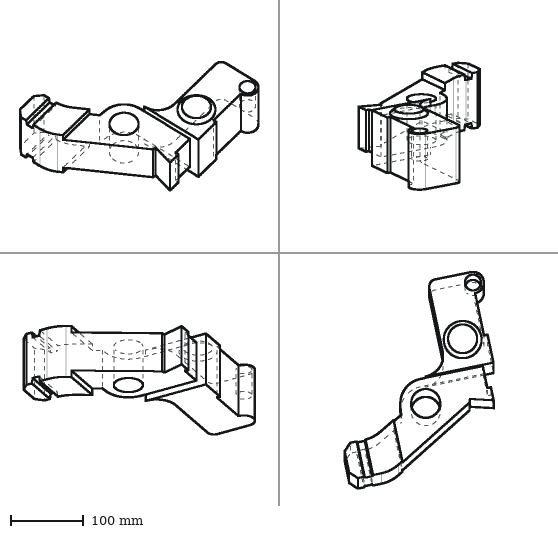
import cadquery as cq
import math


thick = 80.0
web_thick = 60.0

pivot_bore_diameter = 40.0
boss_radius = 35.0
boss_flank_angle = 5.0

eye_x = 97.3
eye_y = 150.0
eye_radius = 15.0
eye_bore_diameter = 22.0
eye_bore_depth = thick / 2
head_width = 60.0
head_corner_radius = 10.0
head_fillet_radius = 30.0
head_pad_height = 5.0
head_right = eye_x
head_left = head_right - head_width
head_top = eye_y + eye_radius
head_bottom = boss_radius

button_top_diameter = 40.0
button_height = 6.0
button_base_diameter = button_top_diameter + 2 * button_height
button_x = (head_left + head_right) / 2
button_y = head_bottom + button_top_diameter
head_pad_top = button_y

web_setback = 10.0
web_right = head_right - web_setback
hook_lip = 5.0
hook_lip_top = 4.0
hook_tip_x = web_right + hook_lip
hook_tip_y = -14.8
hook_angle = math.radians(15.0)
hook_face_length = 33.0
hook_step = 5.0

overall_length = 235.0
overall_width = 249.9
foot_left = eye_x + eye_radius - overall_length
foot_bottom = head_top - overall_width
foot_height = 50.5
foot_top = foot_bottom + foot_height
foot_chamfer = 10.0
foot_right = -48.0
bend_radius = 50.0
upper_arm_angle = math.radians(30.0)
lower_bend_x = -79.8
upper_bend_x = -94.1

groove_floor_offset = 20.0
groove_floor_start = foot_left + groove_floor_offset
groove_floor_width = 10.0
groove_depth = 8.0
groove_overrun = 5.0
groove_wall_angle = math.radians(10.0)
groove_flare = groove_depth * math.tan(groove_wall_angle)


def bend_point(start_x, start_y, angle):
    """Point on an upward bend after turning by angle from the +X direction."""
    return (
        start_x + bend_radius * math.sin(angle),
        start_y + bend_radius * (1 - math.cos(angle)),
    )


def circle_point(radius, degrees):
    """Point on a circle about the pivot axis."""
    angle = math.radians(degrees)
    return (radius * math.cos(angle), radius * math.sin(angle))


def centred_prism(outline, thickness):
    """Extrude an XY outline equally to both sides of Z = 0."""
    return outline.extrude(thickness / 2, both=True)


step_top = (
    hook_tip_x - hook_face_length * math.cos(hook_angle),
    hook_tip_y + hook_face_length * math.sin(hook_angle),
)
step_bottom = (
    step_top[0] - hook_step * math.sin(hook_angle),
    step_top[1] - hook_step * math.cos(hook_angle),
)

step_dx = step_bottom[0] - lower_bend_x
step_dy = step_bottom[1] - (foot_bottom + bend_radius)
lower_arm_angle = math.atan2(step_dy, step_dx) + math.asin(bend_radius / math.hypot(step_dx, step_dy))

lower_bend_end = bend_point(lower_bend_x, foot_bottom, lower_arm_angle)
upper_bend_end = bend_point(upper_bend_x, foot_top, upper_arm_angle)


def lower_arm_y(x):
    """Height in Y of the sloping lower edge of the arm."""
    return lower_bend_end[1] + (x - lower_bend_end[0]) * math.tan(lower_arm_angle)


def upper_arm_y(x):
    """Height in Y of the sloping upper edge of the arm."""
    return upper_bend_end[1] + (x - upper_bend_end[0]) * math.tan(upper_arm_angle)


def make_foot():
    outline = (
        cq.Workplane("XY")
        .moveTo(foot_left + foot_chamfer, foot_bottom)
        .lineTo(lower_bend_x, foot_bottom)
        .threePointArc(bend_point(lower_bend_x, foot_bottom, lower_arm_angle / 2), lower_bend_end)
        .lineTo(foot_right, lower_arm_y(foot_right))
        .lineTo(foot_right, upper_arm_y(foot_right))
        .lineTo(*upper_bend_end)
        .threePointArc(bend_point(upper_bend_x, foot_top, upper_arm_angle / 2), (upper_bend_x, foot_top))
        .lineTo(foot_left + foot_chamfer, foot_top)
        .lineTo(foot_left, foot_top - foot_chamfer)
        .lineTo(foot_left, foot_bottom + foot_chamfer)
        .close()
    )
    return centred_prism(outline, thick)


def make_groove(side):
    """Cutter for the foot groove on the +Z (side = 1) or -Z (side = -1) face."""
    face_z = side * thick / 2
    floor_z = side * (thick / 2 - groove_depth)
    floor_end = groove_floor_start + groove_floor_width
    return (
        cq.Workplane("XZ", origin=(0, foot_top + groove_overrun, 0))
        .polyline([
            (groove_floor_start, floor_z),
            (floor_end, floor_z),
            (floor_end + groove_flare, face_z),
            (groove_floor_start - groove_flare, face_z),
        ])
        .close()
        .extrude(foot_height + groove_overrun)
    )


def make_web():
    flank_top = circle_point(boss_radius, 180 - boss_flank_angle)
    flank_slope = math.tan(math.radians(boss_flank_angle))
    arm_slope = math.tan(upper_arm_angle)
    flank_drop = (flank_top[1] - upper_arm_y(flank_top[0])) / (1 - arm_slope * flank_slope)
    flank_bottom = (flank_top[0] - flank_drop * flank_slope, flank_top[1] - flank_drop)

    outline = (
        cq.Workplane("XY")
        .moveTo(foot_right, lower_arm_y(foot_right))
        .lineTo(*step_bottom)
        .lineTo(*step_top)
        .lineTo(hook_tip_x, hook_tip_y)
        .lineTo(hook_tip_x, hook_lip_top)
        .lineTo(web_right, hook_lip_top)
        .lineTo(web_right, head_bottom)
        .lineTo(0, head_bottom)
        .threePointArc(circle_point(boss_radius, 135), flank_top)
        .lineTo(*flank_bottom)
        .lineTo(foot_right, upper_arm_y(foot_right))
        .close()
    )
    return centred_prism(outline, web_thick)


def make_head():
    fillet_centre = (head_left - head_fillet_radius, head_bottom + head_fillet_radius)
    fillet_middle = (
        fillet_centre[0] + head_fillet_radius * math.sqrt(0.5),
        fillet_centre[1] - head_fillet_radius * math.sqrt(0.5),
    )
    corner_offset = head_corner_radius * (1 - math.sqrt(0.5))
    outline = (
        cq.Workplane("XY")
        .moveTo(fillet_centre[0], head_bottom)
        .lineTo(head_right + head_pad_height, head_bottom)
        .lineTo(head_right + head_pad_height, head_pad_top)
        .lineTo(head_right, head_pad_top)
        .lineTo(head_right, eye_y - eye_radius)
        .threePointArc((eye_x + eye_radius, eye_y), (eye_x, head_top))
        .lineTo(head_left + head_corner_radius, head_top)
        .threePointArc(
            (head_left + corner_offset, head_top - corner_offset),
            (head_left, head_top - head_corner_radius),
        )
        .lineTo(head_left, fillet_centre[1])
        .threePointArc(fillet_middle, (fillet_centre[0], head_bottom))
        .close()
    )
    return centred_prism(outline, thick)


def make_button():
    return (
        cq.Workplane("XY", origin=(button_x, button_y, thick / 2))
        .circle(button_base_diameter / 2)
        .workplane(offset=button_height)
        .circle(button_top_diameter / 2)
        .loft(ruled=True)
    )


def make_pivot_bore():
    return centred_prism(cq.Workplane("XY").circle(pivot_bore_diameter / 2), web_thick)


def make_eye_bore():
    """Blind bore entering the eye from the +Z face."""
    return (
        cq.Workplane("XY", origin=(eye_x, eye_y, thick / 2))
        .circle(eye_bore_diameter / 2)
        .extrude(-eye_bore_depth)
    )


result = make_foot().union(make_web()).union(make_head()).union(make_button())
result = result.cut(make_pivot_bore()).cut(make_eye_bore())
for groove_side in (1, -1):
    result = result.cut(make_groove(groove_side))